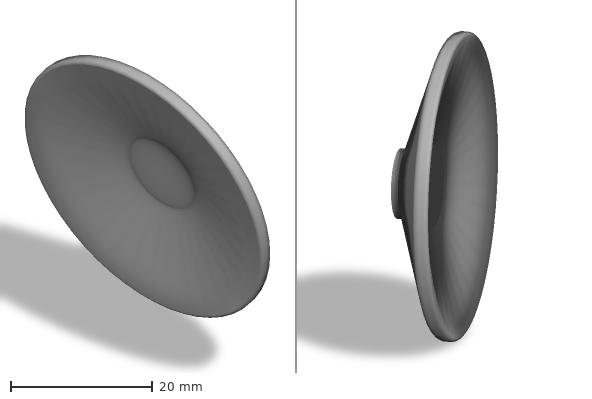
import cadquery as cq
import math

rim_radius = 22.0
total_depth = 9.3

collar_radius = 5.0
collar_length = 1.0

rim_corner_y = 2.0
back_edge_radius = 1.0

front_edge_radius = 0.5
dish_floor_radius = 6.0
dish_angle = math.radians(15.0)

dish_depth = (rim_radius - front_edge_radius - dish_floor_radius) * math.tan(dish_angle)
collar_base_y = total_depth - collar_length
back_angle = math.atan2(collar_base_y - rim_corner_y, rim_radius - collar_radius)

back_arc_start_y = rim_corner_y - back_edge_radius * math.tan((math.pi / 2 - back_angle) / 2)
back_arc_center_r = rim_radius - back_edge_radius


def back_arc_point(angle):
    """Radius and Y on the back edge arc, at an angle measured from the rim."""
    return (
        back_arc_center_r + back_edge_radius * math.cos(angle),
        back_arc_start_y + back_edge_radius * math.sin(angle),
    )


def front_arc_point(angle):
    """Radius and Y on the front edge arc, at an angle measured from the rim."""
    return (
        rim_radius - front_edge_radius * (1 - math.cos(angle)),
        front_edge_radius * (1 - math.sin(angle)),
    )


def half_profile():
    """Closed half section in the XY plane, with X as the radius."""
    back_sweep = math.pi / 2 - back_angle
    front_sweep = math.pi / 2
    return (
        cq.Workplane("XY")
        .moveTo(0, dish_depth)
        .lineTo(dish_floor_radius, dish_depth)
        .lineTo(*front_arc_point(front_sweep))
        .threePointArc(front_arc_point(front_sweep / 2), front_arc_point(0))
        .lineTo(*back_arc_point(0))
        .threePointArc(back_arc_point(back_sweep / 2), back_arc_point(back_sweep))
        .lineTo(collar_radius, collar_base_y)
        .lineTo(collar_radius, total_depth)
        .lineTo(0, total_depth)
        .close()
    )


result = half_profile().revolve(360, (0, 0, 0), (0, 1, 0))